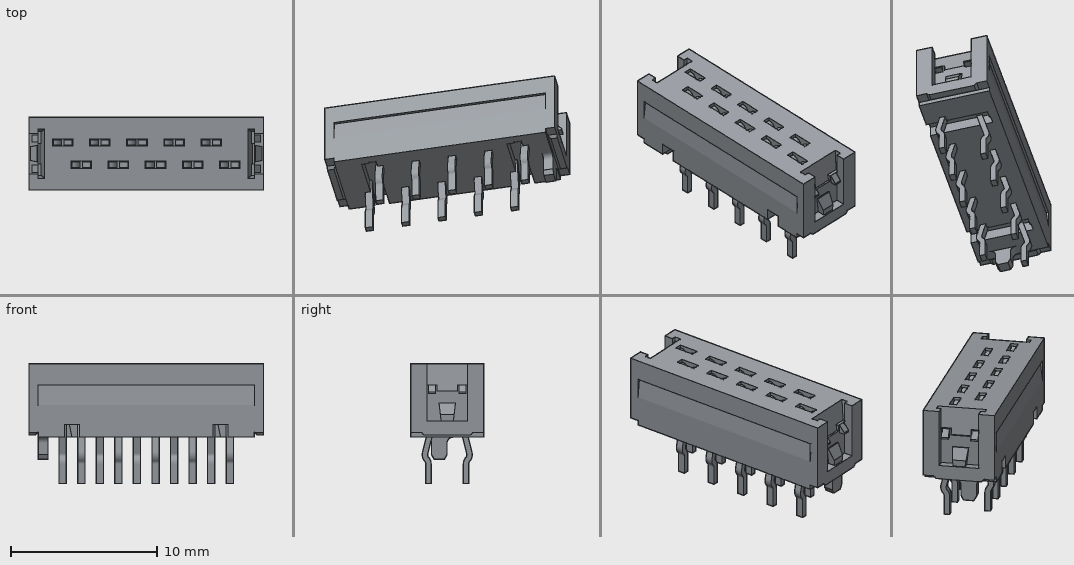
import cadquery as cq
import math

length = 16.08
width = 5.0
height = 5.03
pin_drop = 3.17
end_step = 0.65
wall_x = length / 2 - end_step

end_rise = 0.34
foot_bottom = 0.15
foot_half_width = 1.78
foot_taper = 0.2

band_bottom = 2.17
band_top = 3.59
band_depth = 0.16

pocket_width = 2.77
pocket_floor = 1.11
undercut_width = 3.38
undercut_length = 0.45
ledge_z = 3.59
ledge_width = 2.99
ledge_length = 0.21
dip_z = 3.15
dip_width = 1.4
ear_inner = 0.79
ear_width = 0.5
ear_reach = 0.43
ear_ridge_z = 3.1
ear_bottom = 2.99
latch_top = 2.33
latch_ridge_z = 1.55
latch_reach = 0.53
latch_lip = 0.08
latch_top_width = 1.13
latch_bottom_width = 0.84

contact_count = 10
contact_step = 1.27
slot_y = 0.75
slot_length = 1.42
slot_width = 0.5
slot_depth = 0.96
contact_clearance = 0.06
contact_recess = 0.16
contact_gap = 0.16
jaw_radius = 0.51
pin_width = 0.51
pin_thickness = 0.39
pin_foot_y = 1.29
pin_bulge = 0.24
pin_bend_radius = 0.48
pin_lean = math.radians(14)
pin_knee_z = -1.83
pin_root_z = 1.13

notch_width = 1.03
notch_height = 0.87
notch_back_y = 1.85
step_depth = 0.08
step_top_x = 0.34
step_bottom_x = 0.51

peg_length = 0.68
peg_y = -0.55
peg_width = 1.08
peg_drop = 1.51
peg_flare = 0.4
peg_chamfer_y = 0.18
peg_chamfer_z = 0.34


def box(x0, x1, y0, y1, z0, z1):
    """Axis-aligned block between the given limits."""
    return cq.Workplane("XY").box(x1 - x0, y1 - y0, z1 - z0, centered=False).translate((x0, y0, z0))


def extrude_x(points, x0, x1):
    """Extrude a (y, z) outline along X."""
    return cq.Workplane("YZ").polyline(points).close().extrude(x1 - x0).translate((x0, 0, 0))


def extrude_y(points, y0, y1):
    """Extrude an (x, z) outline along Y."""
    return cq.Workplane("XZ").polyline(points).close().extrude(y0 - y1).translate((0, y0, 0))


def with_x_mirror(shape):
    """Join a shape with its mirror image across the YZ plane."""
    return shape.union(shape.mirror("YZ"))


def housing():
    half = width / 2
    block = box(-wall_x, wall_x, -half, half, 0, height)
    block = block.union(box(-length / 2, length / 2, -half, half, end_rise, height))
    foot = extrude_x(
        [
            (-foot_half_width, end_rise),
            (-foot_half_width + foot_taper, foot_bottom),
            (foot_half_width - foot_taper, foot_bottom),
            (foot_half_width, end_rise),
        ],
        -length / 2,
        -wall_x,
    )
    inner_bevel = extrude_y(
        [(-wall_x, end_rise), (-wall_x, foot_bottom), (-wall_x - foot_taper, foot_bottom)],
        -half,
        half,
    )
    return block.union(with_x_mirror(foot.cut(inner_bevel)))


def side_bands():
    face = -width / 2
    band = extrude_x(
        [(face, band_bottom), (face, band_top), (face + band_depth, band_top)], -wall_x, wall_x
    )
    return band.union(band.mirror("XZ"))


def end_pockets():
    """Open end pockets, each with a wider tapered undercut behind the opening."""
    opening = box(-length / 2, -wall_x, -pocket_width / 2, pocket_width / 2, pocket_floor, height)
    undercut = (
        cq.Workplane("XY", origin=(0, 0, ledge_z))
        .center(-wall_x + ledge_length / 2, 0)
        .rect(ledge_length, ledge_width)
        .workplane(offset=height - ledge_z)
        .center((undercut_length - ledge_length) / 2, 0)
        .rect(undercut_length, undercut_width)
        .loft(ruled=True)
    )
    slope = (undercut_length - ledge_length) / (height - ledge_z)
    dip_length = ledge_length - slope * (ledge_z - dip_z)
    dip = extrude_y(
        [
            (-wall_x, dip_z),
            (-wall_x + dip_length, dip_z),
            (-wall_x + ledge_length, ledge_z),
            (-wall_x, ledge_z),
        ],
        -dip_width / 2,
        dip_width / 2,
    )
    return with_x_mirror(opening.union(undercut).union(dip))


def latches():
    """Two small ear wedges above one larger tapered wedge at each end."""
    ear = extrude_y(
        [
            (-wall_x, ledge_z),
            (-wall_x - ear_reach, ear_ridge_z),
            (-wall_x - ear_reach, ear_bottom),
            (-wall_x, ear_bottom),
        ],
        ear_inner,
        ear_inner + ear_width,
    )
    wedge = extrude_y(
        [
            (-wall_x, latch_top),
            (-wall_x - latch_lip, latch_top),
            (-wall_x - latch_reach, latch_ridge_z),
            (-wall_x - latch_reach, pocket_floor),
            (-wall_x, pocket_floor),
        ],
        -latch_top_width / 2,
        latch_top_width / 2,
    )
    flanks = extrude_x(
        [
            (-latch_top_width / 2, latch_top),
            (-latch_bottom_width / 2, pocket_floor),
            (latch_bottom_width / 2, pocket_floor),
            (latch_top_width / 2, latch_top),
        ],
        -length / 2,
        -wall_x,
    )
    return with_x_mirror(wedge.intersect(flanks).union(ear).union(ear.mirror("XZ")))


def contact_x(index):
    return (index - (contact_count - 1) / 2) * contact_step


def row_side(index):
    """Even contacts stand in the +Y row, odd ones in the -Y row."""
    return 1 if index % 2 == 0 else -1


def slot(x, side):
    return (
        cq.Workplane("XY", origin=(x, side * slot_y, height))
        .rect(slot_length, slot_width)
        .extrude(-slot_depth)
    )


def contact_jaws(x, side):
    """Pair of contact jaws whose inner top corners are rounded into a lead-in."""
    jaw_outer = slot_length / 2 - contact_clearance
    jaw_thickness = slot_width - 2 * contact_clearance
    jaw_top = height - contact_recess
    floor = height - slot_depth
    jaw = (
        box(contact_gap / 2, jaw_outer, -jaw_thickness / 2, jaw_thickness / 2, floor, jaw_top)
        .edges("|Y and >Z and <X")
        .fillet(jaw_radius)
    )
    return with_x_mirror(jaw).translate((x, side * slot_y, 0))


def polar(centre, radius, angle):
    """Point on a circle in the YZ plane, the angle measured from +Y towards +Z."""
    return (centre[0] + radius * math.cos(angle), centre[1] + radius * math.sin(angle))


def pin(x, side):
    """Bent solder pin: leaning leg, outward bulge, reverse bend at the knee, straight foot."""
    half = pin_thickness / 2
    swing = math.acos(1 - pin_bulge / (2 * pin_bend_radius))
    knee = (pin_foot_y + pin_bend_radius, pin_knee_z)
    bulge = (
        pin_foot_y + pin_bulge - pin_bend_radius,
        pin_knee_z + 2 * pin_bend_radius * math.sin(swing),
    )

    bulge_outer = pin_bend_radius + half
    bulge_inner = pin_bend_radius - half
    knee_outer = pin_bend_radius - half
    knee_inner = pin_bend_radius + half

    def root(bend_radius):
        """Top end of the leaning leg side that is tangent to the given bulge arc."""
        start = polar(bulge, bend_radius, pin_lean)
        rise = pin_root_z - start[1]
        return (start[0] - rise * math.tan(pin_lean), pin_root_z)

    profile = (
        cq.Workplane("YZ")
        .moveTo(*root(bulge_outer))
        .lineTo(*polar(bulge, bulge_outer, pin_lean))
        .threePointArc(polar(bulge, bulge_outer, 0), polar(bulge, bulge_outer, -swing))
        .threePointArc(
            polar(knee, knee_outer, math.pi - swing / 2), polar(knee, knee_outer, math.pi)
        )
        .lineTo(pin_foot_y + half, -pin_drop)
        .lineTo(pin_foot_y - half, -pin_drop)
        .lineTo(pin_foot_y - half, pin_knee_z)
        .threePointArc(
            polar(knee, knee_inner, math.pi - swing / 2), polar(knee, knee_inner, math.pi - swing)
        )
        .threePointArc(polar(bulge, bulge_inner, 0), polar(bulge, bulge_inner, pin_lean))
        .lineTo(*root(bulge_inner))
        .close()
    )
    bent = profile.extrude(pin_width).translate((x - pin_width / 2, 0, 0))
    return bent if side > 0 else bent.mirror("XZ")


def notch(centre_x):
    """Underside notch open to -Y; its back wall has a shallow step with a slanted edge."""
    left = centre_x - notch_width / 2
    opening = box(left, left + notch_width, -width / 2, notch_back_y, 0, notch_height)
    step = extrude_y(
        [
            (left, 0),
            (left + step_bottom_x, 0),
            (left + step_top_x, notch_height),
            (left, notch_height),
        ],
        notch_back_y,
        notch_back_y + step_depth,
    )
    return opening.union(step)


def peg():
    """Locating peg with flared root and bevelled tip."""
    half = peg_width / 2
    outline = (
        cq.Workplane("YZ", origin=(-wall_x, peg_y, 0))
        .moveTo(-half - peg_flare, 0)
        .radiusArc((-half, -peg_flare), peg_flare)
        .lineTo(-half, -peg_drop + peg_chamfer_z)
        .lineTo(-half + peg_chamfer_y, -peg_drop)
        .lineTo(half - peg_chamfer_y, -peg_drop)
        .lineTo(half, -peg_drop + peg_chamfer_z)
        .lineTo(half, -peg_flare)
        .radiusArc((half + peg_flare, 0), peg_flare)
        .close()
    )
    return outline.extrude(peg_length)


result = housing().cut(side_bands()).cut(end_pockets()).union(latches())
for first in (0, contact_count - 2):
    notch_x = (contact_x(first) + contact_x(first + 1)) / 2
    result = result.cut(notch(notch_x))
for i in range(contact_count):
    result = result.cut(slot(contact_x(i), row_side(i)))
    result = result.union(contact_jaws(contact_x(i), row_side(i)))
    result = result.union(pin(contact_x(i), row_side(i)))
result = result.union(peg())